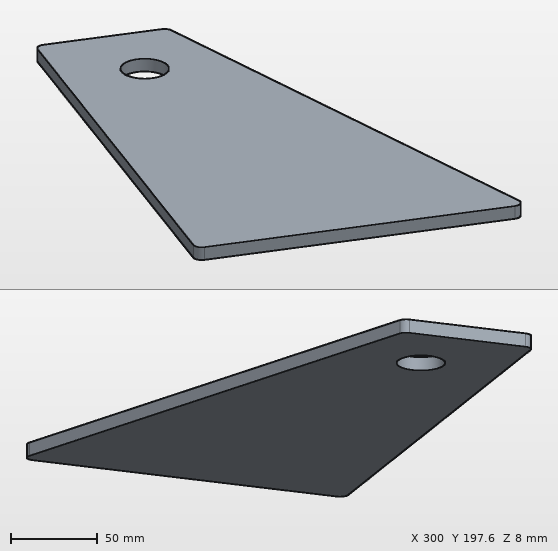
import cadquery as cq

length = 300.0
short_side = 80.0
long_side = 200.0
thickness = 8.0
corner_radius = 5.0

hole_diameter = 28.0
hole_offset = 50.0

corners = [(0, 0), (length, 0), (length, long_side), (0, short_side)]
plate = cq.Workplane("XY").polyline(corners).close().extrude(thickness)
plate = plate.edges("|Z").fillet(corner_radius)

hole = (
    cq.Workplane("XY")
    .center(hole_offset, hole_offset)
    .circle(hole_diameter / 2)
    .extrude(thickness)
)

result = plate.cut(hole)